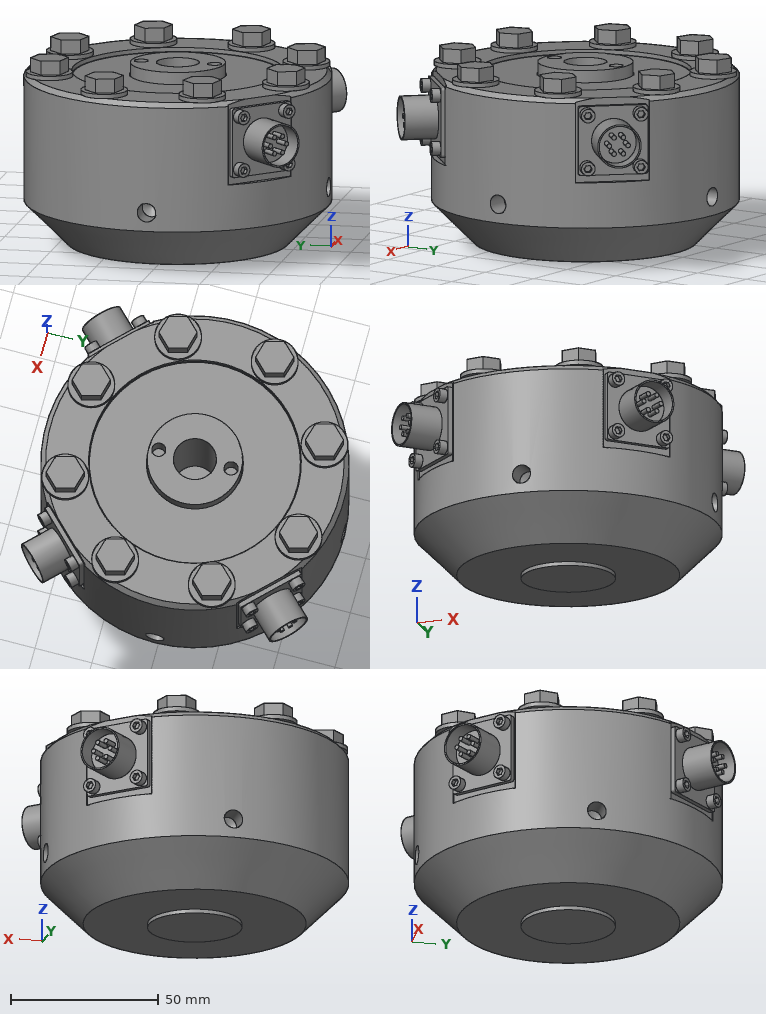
import cadquery as cq
import math

body_radius = 52.3
foot_radius = 16.0
foot_height = 1.4
cone_top = 15.8
cone_bottom_radius = body_radius - (cone_top - foot_height)
rim_top = 60.5
rim_chamfer = 1.7

recess_radius = 36.1
recess_floor = 59.1
recess_groove_width = 0.3
recess_groove_depth = 0.2

button_diameter = 32.3
button_radius = button_diameter / 2
button_top = 63.3
button_gap_radius = 16.4
button_gap_depth = 2.1
bore_diameter = 14.5
bore_depth = 31.4
spanner_hole_diameter = 4.7
spanner_hole_spacing = 25.4
spanner_hole_depth = 6.3

bolt_count = 8
bolt_circle_radius = 44.4
washer_diameter = 15.9
washer_top = 62.0
bolt_head_top = 66.8
bolt_head_across_corners = 13.0

side_hole_diameter = 6.4
side_hole_z = 22.3
side_hole_depth = 8.4
drill_point_angle = 118.0

connector_angles = (45, 225, 315)
connector_z = 46.0
flat_distance = 50.3
flat_width = 25.4
flat_bottom = 31.5
plate_size = 23.9
plate_thickness = 1.7
plate_corner_radius = 0.8
plate_face = flat_distance + plate_thickness
barrel_diameter = 15.0
barrel_bore_diameter = 13.9
barrel_end = 63.6
barrel_floor = 57.2
pin_count = 6
pin_diameter = 1.6
pin_circle_radius = 3.2
pin_end = 62.4
plate_screw_pitch = 18.3
plate_screw_diameter = 4.7
plate_screw_end = 54.9
plate_screw_socket_corners = 2.7
plate_screw_socket_depth = 1.6


def cylinder(radius, bottom, top):
    """Vertical cylinder on the Z axis between two heights."""
    return cq.Workplane("XY").workplane(offset=bottom).circle(radius).extrude(top - bottom)


def tube(outer_radius, inner_radius, bottom, top):
    """Vertical ring on the Z axis between two heights."""
    return cylinder(outer_radius, bottom, top).cut(cylinder(inner_radius, bottom, top))


def make_body():
    """Turned housing: foot, cone, straight wall and chamfered rim."""
    profile = [
        (0, 0),
        (foot_radius, 0),
        (foot_radius, foot_height),
        (cone_bottom_radius, foot_height),
        (body_radius, cone_top),
        (body_radius, rim_top - rim_chamfer),
        (body_radius - rim_chamfer, rim_top),
        (0, rim_top),
    ]
    return cq.Workplane("XZ").polyline(profile).close().revolve(360, (0, 0), (0, 1))


def cut_top_recess(body):
    """Sink the diaphragm recess with its edge groove and button gap."""
    body = body.cut(cylinder(recess_radius, recess_floor, rim_top))
    cuts = [
        (recess_radius, recess_radius - recess_groove_width, recess_groove_depth),
        (button_gap_radius, button_radius, button_gap_depth),
    ]
    for outer_radius, inner_radius, depth in cuts:
        body = body.cut(tube(outer_radius, inner_radius, recess_floor - depth, recess_floor))
    return body


def add_button(body):
    """Raise the load button, then drill its bore and its two spanner holes."""
    body = body.union(cylinder(button_radius, recess_floor - button_gap_depth, button_top))
    body = body.cut(cylinder(bore_diameter / 2, button_top - bore_depth, button_top))
    spanner_holes = (
        cq.Workplane("XY")
        .workplane(offset=button_top)
        .pushPoints([(0, spanner_hole_spacing / 2), (0, -spanner_hole_spacing / 2)])
        .circle(spanner_hole_diameter / 2)
        .extrude(-spanner_hole_depth)
    )
    return body.cut(spanner_holes)


def make_cover_bolt():
    """Washer and hexagon head, with head corners on the X-Y diagonal."""
    washer = cylinder(washer_diameter / 2, rim_top, washer_top)
    head = (
        cq.Workplane("XY")
        .workplane(offset=washer_top)
        .polygon(6, bolt_head_across_corners)
        .extrude(bolt_head_top - washer_top)
        .rotate((0, 0, 0), (0, 0, 1), 45)
    )
    return washer.union(head)


def add_cover_bolts(body):
    """Spread the bolts evenly, half a step away from the X axis."""
    bolt = make_cover_bolt()
    step = 2 * math.pi / bolt_count
    for index in range(bolt_count):
        angle = (index + 0.5) * step
        x = bolt_circle_radius * math.cos(angle)
        y = bolt_circle_radius * math.sin(angle)
        body = body.union(bolt.translate((x, y, 0)))
    return body


def cut_side_holes(body):
    """Drill the four radial holes on the X and Y axes."""
    radius = side_hole_diameter / 2
    bottom = body_radius - side_hole_depth
    tip = bottom - radius / math.tan(math.radians(drill_point_angle / 2))
    profile = [(tip, 0), (bottom, radius), (body_radius, radius), (body_radius, 0)]
    drill = (
        cq.Workplane("XY")
        .polyline(profile)
        .close()
        .revolve(360, (0, 0), (1, 0))
        .translate((0, 0, side_hole_z))
    )
    for angle in (0, 90, 180, 270):
        body = body.cut(drill.rotate((0, 0, 0), (0, 0, 1), angle))
    return body


def connector_plane(distance):
    """Workplane facing +X at a distance from the body axis, centred on the connector."""
    return cq.Workplane("YZ", origin=(distance, 0, connector_z))


def make_connector():
    """Connector pointing along +X: plate, screws, hollow barrel and pins."""
    plate = (
        connector_plane(flat_distance)
        .rect(plate_size, plate_size)
        .extrude(plate_thickness)
        .edges("|X")
        .fillet(plate_corner_radius)
    )
    screw_heads = (
        connector_plane(plate_face)
        .rect(plate_screw_pitch, plate_screw_pitch, forConstruction=True)
        .vertices()
        .circle(plate_screw_diameter / 2)
        .extrude(plate_screw_end - plate_face)
    )
    socket_outline = cq.Sketch().regularPolygon(plate_screw_socket_corners / 2, 6, angle=30)
    screw_sockets = (
        connector_plane(plate_screw_end)
        .rect(plate_screw_pitch, plate_screw_pitch, forConstruction=True)
        .vertices()
        .placeSketch(socket_outline)
        .extrude(-plate_screw_socket_depth)
    )
    barrel = connector_plane(plate_face).circle(barrel_diameter / 2).extrude(barrel_end - plate_face)
    barrel_bore = (
        connector_plane(barrel_floor)
        .circle(barrel_bore_diameter / 2)
        .extrude(barrel_end - barrel_floor)
    )
    pins = (
        connector_plane(barrel_floor)
        .polarArray(pin_circle_radius, 0, 360, pin_count)
        .circle(pin_diameter / 2)
        .extrude(pin_end - barrel_floor)
    )
    screws = screw_heads.cut(screw_sockets)
    return plate.union(barrel.cut(barrel_bore)).union(screws).union(pins)


def add_connectors(body):
    """Cut a flat pocket at each connector angle and seat a connector in it."""
    flat_cut = cq.Workplane("XY").box(
        body_radius, flat_width, rim_top - flat_bottom, centered=(False, True, False)
    ).translate((flat_distance, 0, flat_bottom))
    connector = make_connector()
    for angle in connector_angles:
        body = body.cut(flat_cut.rotate((0, 0, 0), (0, 0, 1), angle))
        body = body.union(connector.rotate((0, 0, 0), (0, 0, 1), angle))
    return body


housing = cut_side_holes(cut_top_recess(make_body()))
result = add_connectors(add_cover_bolts(add_button(housing)))